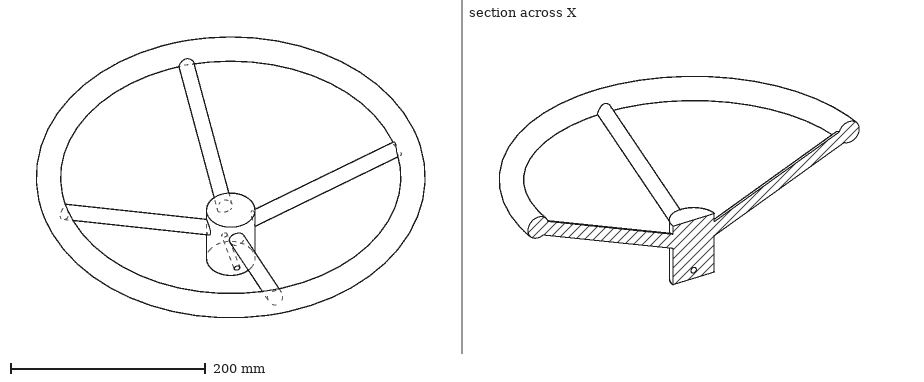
import cadquery as cq
import math

wheel_diameter = 400.0
rim_tube_diameter = 25.0
rim_path_radius = (wheel_diameter - rim_tube_diameter) / 2

overall_height = 130.0
hub_diameter = 50.0
hub_height = 70.0
rim_height = overall_height - rim_tube_diameter / 2

spoke_diameter = 16.0
spoke_count = 4
spoke_pitch = 360 / spoke_count
spoke_start_radius = 12.0
spoke_angle = 22.0

pin_hole_diameter = 6.0
pin_hole_height = 10.0


def make_rim():
    rim = cq.Solid.makeTorus(
        rim_path_radius, rim_tube_diameter / 2, cq.Vector(0, 0, rim_height), cq.Vector(0, 0, 1)
    )
    return cq.Workplane(rim).rotate((0, 0, 0), (0, 0, 1), spoke_pitch / 2)


def make_spoke(turn):
    run = rim_path_radius - spoke_start_radius
    rise = run * math.tan(math.radians(spoke_angle))
    start = cq.Vector(spoke_start_radius, 0, rim_height - rise)
    spoke = cq.Solid.makeCylinder(
        spoke_diameter / 2, math.hypot(run, rise), start, cq.Vector(run, 0, rise)
    )
    return cq.Workplane(spoke).rotate((0, 0, 0), (0, 0, 1), turn)


def make_pin_hole():
    return (
        cq.Workplane("YZ", origin=(-hub_diameter / 2, 0, pin_hole_height))
        .circle(pin_hole_diameter / 2)
        .extrude(hub_diameter)
    )


def make_hub():
    return cq.Workplane("XY").circle(hub_diameter / 2).extrude(hub_height)


wheel = make_hub()
for index in range(spoke_count):
    wheel = wheel.union(make_spoke(index * spoke_pitch))
wheel = wheel.cut(make_pin_hole())

result = wheel.union(make_rim(), clean=False)